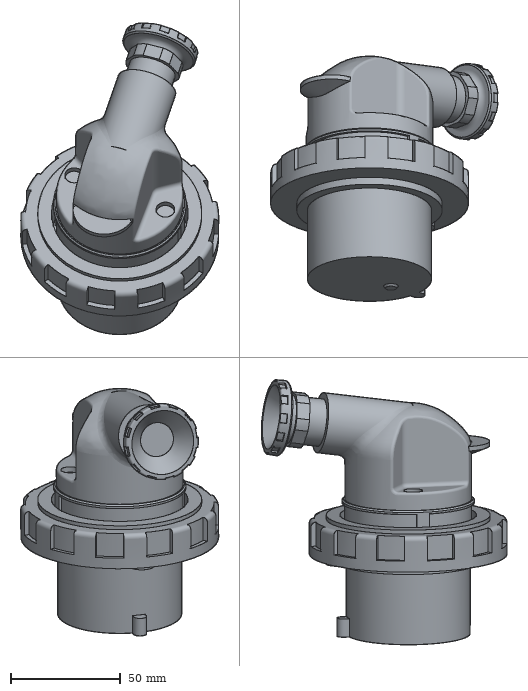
import cadquery as cq
import math

FLANGE_BOTTOM = 33.4
RING_BOTTOM = 36.8
NOTCH_FLOOR = 41.9
RING_SHOULDER = 53.0
RING_TOP = 54.8
BEAD_BOTTOM = 60.6
BEAD_TOP = 62.3
POCKET_FLOOR = 70.3
DOME_BASE = 85.2
DOME_TOP = 106.4

BARREL_RADIUS = 28.2
FLANGE_RADIUS = 33.0
FLANGE_KEY_REACH = 38.1
FLANGE_KEY_RADIUS = 5.8
BARREL_KEY_REACH = 33.2
BARREL_KEY_RADIUS = 3.0
BARREL_KEY_HEIGHT = 8.5
PIN_OFFSET = 13.3
PIN_RADIUS = 3.4
PIN_TIP_RADIUS = 2.5
PIN_PROTRUSION = 1.0

RING_RADIUS = 45.0
RING_ROUND = 2.2
RING_NOTCH_DEPTH = 2.2
RAISED_RADIUS = 37.3
RING_BORE_RADIUS = 31.0

NOTCH_COUNT = 12
RING_NOTCH_ANGLE = 16.5
RING_NOTCH_START = 6.3
RIM_NOTCH_ANGLE = 14.5
RIM_NOTCH_START = 9.0

ELBOW_RADIUS = 28.8
DOME_MID_RADIUS = 17.1
DOME_MID_HEIGHT = 101.1
DOME_SIDE_RADIUS = 24.7
DOME_SIDE_HEIGHT = 94.6
DOME_TOP_SLOPE = 0.1
BEAD_RADIUS = 30.2
BEAD_CHAMFER = 0.7
TAB_WIDTH = 5.9

WALL_X = 14.6
WALL_CORNER_Y = 5.4
SLANT_ANGLE = 35.0
POCKET_REACH = 36.2
POCKET_CORNER_RADIUS = 4.6
POCKET_FLOOR_ROUND = 2.0
POCKET_RIM_ROUND = 1.3
SCREW_X = 22.7
SCREW_Y = 3.0
SCREW_RADIUS = 4.2
SCREW_DEPTH = 2.5

LIP_CENTER_Y = -23.4
LIP_RADIUS = 14.2
LIP_BOTTOM = 85.8
LIP_TOP = 87.8
LIP_ROOT_ROUND = 1.1
LIP_ROOT_OVERHANG = 0.4
LIP_SLOPE = 0.43

OUTLET_ANGLE = 9.0
OUTLET_END_Y = 41.0
OUTLET_END_Z = 99.2
OUTLET_RADIUS = 13.8
OUTLET_LENGTH = 40.9
OUTLET_BLEND = 4.8
SEAM_TOLERANCE = 0.02

GLAND_TUBE_RADIUS = 10.9
NUT_START = 8.5
NUT_END = 14.5
NUT_APOTHEM = 12.1
NUT_CORNER_RADIUS = 12.7
NECK_RADIUS = 11.1
FLARE_ROUND = 3.1
RIM_START = 17.7
RIM_END = 23.2
RIM_RADIUS = 17.3
RIM_CHAMFER = 0.7
RIM_ROUND = 0.8
RIM_NOTCH_DEPTH = 0.8
RIM_NOTCH_LENGTH = 3.0
MOUTH_RADIUS = 14.7
BORE_RADIUS = 7.8
BORE_END = NUT_END


def cylinder(radius, bottom, top):
    """Upright cylinder on the Z axis between two heights."""
    return cq.Workplane("XY", origin=(0, 0, bottom)).circle(radius).extrude(top - bottom)


def grip_notches(radius, depth, bottom, top, width_angle, start_angle):
    """Ring-sector cutters spread evenly around the Z axis, with radial side walls."""
    half_angle = math.radians(width_angle / 2)
    reach = radius + depth
    wedge = (
        cq.Workplane("XY", origin=(0, 0, bottom))
        .polyline([
            (0, 0),
            (reach * math.sin(half_angle), -reach * math.cos(half_angle)),
            (-reach * math.sin(half_angle), -reach * math.cos(half_angle)),
        ])
        .close()
        .extrude(top - bottom)
        .cut(cylinder(radius - depth, bottom, top))
    )
    pitch = 360 / NOTCH_COUNT
    cutters = []
    for index in range(NOTCH_COUNT):
        angle = start_angle + index * pitch
        cutters.append(wedge.rotate((0, 0, 0), (0, 0, 1), angle).val())
    return cq.Workplane(cq.Compound.makeCompound(cutters))


def rounded_key(radius, reach, bottom, top):
    """Upright rib from the Z axis toward +Y that ends in a half round."""
    center_y = reach - radius
    height = top - bottom
    base = cq.Workplane("XY", origin=(0, 0, bottom))
    rib = base.center(0, center_y / 2).rect(2 * radius, center_y).extrude(height)
    nose = base.center(0, center_y).circle(radius).extrude(height)
    return rib.union(nose)


def seam_edges(shape, first, second):
    """Edges of a shape whose middle lies on the skin of both given bodies."""
    first_skin = cq.Compound.makeCompound(first.faces().vals())
    second_skin = cq.Compound.makeCompound(second.faces().vals())
    seam = []
    for edge in shape.edges().vals():
        middle = cq.Vertex.makeVertex(*edge.positionAt(0.5).toTuple())
        on_first = middle.distance(first_skin) < SEAM_TOLERANCE
        on_second = middle.distance(second_skin) < SEAM_TOLERANCE
        if on_first and on_second:
            seam.append(edge)
    return seam


def make_barrel():
    barrel = cylinder(BARREL_RADIUS, 0, RING_BOTTOM)
    flange = cylinder(FLANGE_RADIUS, FLANGE_BOTTOM, RING_BOTTOM)
    flange_key = rounded_key(FLANGE_KEY_RADIUS, FLANGE_KEY_REACH, FLANGE_BOTTOM, RING_BOTTOM)
    barrel_key = rounded_key(BARREL_KEY_RADIUS, BARREL_KEY_REACH, 0, BARREL_KEY_HEIGHT)
    pin_tip = (
        cq.Workplane("XY", origin=(0, PIN_OFFSET, 0))
        .circle(PIN_RADIUS)
        .workplane(offset=-PIN_PROTRUSION)
        .circle(PIN_TIP_RADIUS)
        .loft()
    )
    return barrel.union(flange).union(flange_key).union(barrel_key).union(pin_tip)


def make_ring():
    grip = cylinder(RING_RADIUS, RING_BOTTOM, RING_SHOULDER).faces(">Z").edges().fillet(RING_ROUND)
    notches = grip_notches(
        RING_RADIUS, RING_NOTCH_DEPTH, NOTCH_FLOOR, RING_SHOULDER, RING_NOTCH_ANGLE, RING_NOTCH_START
    )
    grip = grip.cut(notches)
    raised = cylinder(RAISED_RADIUS, RING_BOTTOM, RING_TOP)
    bore = cylinder(RING_BORE_RADIUS, RING_BOTTOM, RING_TOP)
    return grip.union(raised).cut(bore)


def domed_cylinder():
    profile = (
        cq.Workplane("XZ")
        .moveTo(0, RING_BOTTOM)
        .lineTo(ELBOW_RADIUS, RING_BOTTOM)
        .lineTo(ELBOW_RADIUS, DOME_BASE)
        .spline(
            [(DOME_SIDE_RADIUS, DOME_SIDE_HEIGHT), (DOME_MID_RADIUS, DOME_MID_HEIGHT), (0, DOME_TOP)],
            tangents=[(0, 1), (-1, DOME_TOP_SLOPE)],
            includeCurrent=True,
        )
        .close()
    )
    seam_turn = -90
    return profile.revolve(360, (0, 0, 0), (0, 1, 0)).rotate((0, 0, 0), (0, 0, 1), seam_turn)


def outlet_tube():
    """Outlet tube, built along Z with its end face at Z = 0 and running inward."""
    seam_turn = -90
    return cylinder(OUTLET_RADIUS, -OUTLET_LENGTH, 0).rotate((0, 0, 0), (0, 0, 1), seam_turn)


def inclined(shape):
    """Move a shape from the local outlet axis (Z) onto the inclined outlet."""
    tilt = OUTLET_ANGLE - 90
    turned = shape.rotate((0, 0, 0), (1, 0, 0), tilt)
    return turned.translate((0, OUTLET_END_Y, OUTLET_END_Z))


def blend_outlet(body):
    """Join the outlet tube and fillet the seam around it, but not its exposed inner end."""
    tube = inclined(outlet_tube())
    joined = body.union(tube)
    tube_side = tube.faces("not %PLANE")
    return joined.newObject(seam_edges(joined, body, tube_side)).fillet(OUTLET_BLEND)


def left_pocket():
    slant = math.radians(SLANT_ANGLE)
    slant_run = POCKET_REACH - WALL_X
    cutter = (
        cq.Workplane("XY", origin=(0, 0, POCKET_FLOOR))
        .polyline([
            (-WALL_X, -POCKET_REACH),
            (-WALL_X, WALL_CORNER_Y),
            (-POCKET_REACH, WALL_CORNER_Y + slant_run * math.tan(slant)),
            (-POCKET_REACH, -POCKET_REACH),
        ])
        .close()
        .extrude(DOME_TOP - POCKET_FLOOR)
    )
    corner = cq.selectors.NearestToPointSelector((-WALL_X, WALL_CORNER_Y, DOME_BASE))
    cutter = cutter.edges("|Z").edges(corner).fillet(POCKET_CORNER_RADIUS)
    return cutter.faces("<Z").edges(">X").fillet(POCKET_FLOOR_ROUND)


def cut_pocket(body, pocket):
    """Cut one pocket and round the rim where its walls meet the outer surface."""
    opened = body.cut(pocket)
    return opened.newObject(seam_edges(opened, body, pocket)).fillet(POCKET_RIM_ROUND)


def screw_hole(x, y):
    floor = cq.Workplane("XY", origin=(x, y, POCKET_FLOOR))
    return floor.circle(SCREW_RADIUS).extrude(-SCREW_DEPTH)


def thumb_lip():
    plate_height = LIP_TOP - LIP_BOTTOM
    cone_height = LIP_RADIUS * LIP_SLOPE
    plate = cq.Workplane(cq.Solid.makeCylinder(LIP_RADIUS, plate_height))
    cone = cq.Workplane(cq.Solid.makeCone(0, LIP_RADIUS, cone_height)).translate((0, 0, -cone_height))
    return plate.union(cone).translate((0, LIP_CENTER_Y, LIP_BOTTOM))


def lip_root():
    """Hollow round where the top of the thumb lip runs into the dome."""
    outer = ELBOW_RADIUS + LIP_ROOT_OVERHANG
    band = (
        cq.Workplane("XZ")
        .moveTo(outer, LIP_TOP)
        .radiusArc((outer - LIP_ROOT_ROUND, LIP_TOP + LIP_ROOT_ROUND), LIP_ROOT_ROUND)
        .lineTo(outer - LIP_RADIUS, LIP_TOP + LIP_ROOT_ROUND)
        .lineTo(outer - LIP_RADIUS, LIP_TOP)
        .close()
        .revolve(180, (0, 0, 0), (0, -1, 0))
    )
    width = 2 * (WALL_X - POCKET_RIM_ROUND)
    front = cq.Workplane("XY", origin=(0, -ELBOW_RADIUS, LIP_TOP)).rect(width, ELBOW_RADIUS)
    return band.intersect(front.extrude(LIP_ROOT_ROUND))


def hex_nut():
    height = NUT_END - NUT_START
    flat_turn = 30
    hexagon = (
        cq.Workplane("XY", origin=(0, 0, NUT_START))
        .polygon(6, 2 * NUT_APOTHEM, circumscribed=True)
        .extrude(height)
        .rotate((0, 0, 0), (0, 0, 1), flat_turn)
    )
    return hexagon.intersect(cylinder(NUT_CORNER_RADIUS, NUT_START, NUT_END))


def gland():
    bell = (
        cq.Workplane("XZ")
        .moveTo(0, 0)
        .lineTo(GLAND_TUBE_RADIUS, 0)
        .lineTo(GLAND_TUBE_RADIUS, NUT_END)
        .lineTo(NECK_RADIUS, NUT_END)
        .lineTo(NECK_RADIUS, RIM_START - FLARE_ROUND)
        .tangentArcPoint((FLARE_ROUND, FLARE_ROUND))
        .lineTo(0, RIM_START)
        .close()
        .revolve(360, (0, 0, 0), (0, 1, 0))
    )
    rim = (
        cylinder(RIM_RADIUS, RIM_START, RIM_END)
        .faces("<Z").edges().chamfer(RIM_CHAMFER)
        .faces(">Z").edges().fillet(RIM_ROUND)
    )
    notch_start = RIM_END - RIM_NOTCH_LENGTH
    notches = grip_notches(
        RIM_RADIUS, RIM_NOTCH_DEPTH, notch_start, RIM_END, RIM_NOTCH_ANGLE, RIM_NOTCH_START
    )
    rim = rim.cut(notches)
    mouth = (
        cq.Workplane("XY", origin=(0, 0, BORE_END))
        .circle(BORE_RADIUS)
        .workplane(offset=RIM_END - BORE_END)
        .circle(MOUTH_RADIUS)
        .loft()
    )
    return bell.union(hex_nut()).union(rim).cut(mouth)


def bead_and_tabs():
    bead = cylinder(BEAD_RADIUS, BEAD_BOTTOM, BEAD_TOP).faces(">Z").edges().chamfer(BEAD_CHAMFER)
    tabs = (
        cq.Workplane("XY", origin=(0, 0, RING_BOTTOM))
        .rect(2 * BEAD_RADIUS, TAB_WIDTH)
        .extrude(BEAD_BOTTOM - RING_BOTTOM)
        .intersect(cylinder(BEAD_RADIUS, RING_BOTTOM, BEAD_BOTTOM))
    )
    return bead.union(tabs)


def make_elbow():
    elbow = blend_outlet(domed_cylinder())
    pocket = left_pocket()
    elbow = cut_pocket(elbow, pocket)
    elbow = cut_pocket(elbow, pocket.mirror("YZ"))
    elbow = elbow.union(thumb_lip()).union(lip_root()).union(bead_and_tabs()).union(inclined(gland()))
    for side in (-1, 1):
        elbow = elbow.cut(screw_hole(side * SCREW_X, -side * SCREW_Y))
    return elbow


barrel = make_barrel()
ring = make_ring()
elbow = make_elbow()
result = cq.Compound.makeCompound([barrel.val(), ring.val(), elbow.val()])